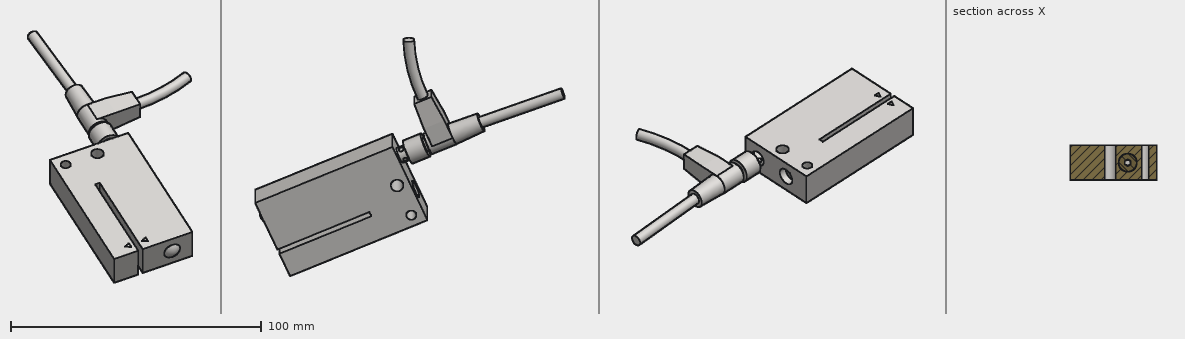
import cadquery as cq
import math


overall_length = 132.2

block_length = 60.0
block_width = 34.6
block_height = 14.0
slot_start = 19.8
slot_width = 2.0
slot_y = 11.6

hole_x = 5.0
hole_offset = 7.0
large_hole_diameter = 5.0
small_hole_diameter = 4.0

mark_x = 55.8
mark_length = 2.2
mark_width = 2.2
mark_depth = 0.1
mark_gap = 1.6

screw_diameter = 7.0
screw_recess = 3.3
screw_length = 4.0
socket_diameter = 2.5
socket_depth = 1.3

dome_diameter = 7.0
dome_height = 1.6
dome_y = 25.7

connector_y = 27.5
stub_diameter = 6.5
stub_length = 3.6
window_count = 4
window_diameter = 2.0
window_x = -1.9
window_depth = 0.2
window_first_angle = 60

nut_diameter = 10.0
nut_length = 7.7
neck_diameter = 6.0
neck_length = 1.2
barrel_diameter = 9.0
barrel_length = 10.7
cone_start_diameter = 8.9
cone_end_diameter = 7.7
cone_length = 12.3
cable_diameter = 4.5
cable_insertion = 1.3
straight_cable_angle = 3.0

arm_side = barrel_diameter
arm_straight_length = 8.3
arm_end_side = 7.5
arm_taper_length = 11.1
bend_radius = 66.2
bend_angle = 22

nut_start = -stub_length
neck_start = nut_start - nut_length
barrel_start = neck_start - neck_length
cone_start = barrel_start - barrel_length
cone_end = cone_start - cone_length

arm_x = cone_start + arm_side / 2

cable_tilt = math.radians(straight_cable_angle)
cable_end = block_length + dome_height - overall_length
cable_run = cone_end - cable_end - cable_diameter / 2 * math.sin(cable_tilt)
straight_cable_length = cable_run / math.cos(cable_tilt)


def rod(diameter, length, origin, direction):
    """Round rod of the given length from origin along direction."""
    cylinder = cq.Solid.makeCylinder(diameter / 2, length, cq.Vector(*origin), cq.Vector(*direction))
    return cq.Workplane(cylinder)


def rod_along_minus_x(diameter, length, start):
    """Round rod on the connector axis that runs from start toward -X."""
    return rod(diameter, length, (start, connector_y, 0), (-1, 0, 0))


def beam_mark(y):
    """Triangular pocket in the top face, with its point toward -Y."""
    floor = block_height / 2 - mark_depth
    half = mark_width / 2
    points = [(mark_x - half, y + mark_length), (mark_x + half, y + mark_length), (mark_x, y)]
    return cq.Workplane("XY", origin=(0, 0, floor)).polyline(points).close().extrude(mark_depth)


def lamp_window(angle):
    """Shallow flat-bottomed pocket in the stub, at an angle from +Y toward +Z."""
    outward = (0, math.cos(math.radians(angle)), math.sin(math.radians(angle)))
    floor = stub_diameter / 2 - window_depth
    origin = (window_x, connector_y + floor * outward[1], floor * outward[2])
    return rod(window_diameter, stub_diameter / 2, origin, outward)


def make_housing():
    """Block with its slot, holes and beam marks, and the receptacle stub."""
    block = cq.Workplane("XY").box(block_length, block_width, block_height, centered=(False, False, True))
    slot = (
        cq.Workplane("XY")
        .box(block_length - slot_start, slot_width, block_height, centered=(False, True, True))
        .translate((slot_start, slot_y, 0))
    )
    block = block.cut(slot)
    holes = ((slot_y + hole_offset, large_hole_diameter), (slot_y - hole_offset, small_hole_diameter))
    for y, diameter in holes:
        block = block.cut(rod(diameter, block_height, (hole_x, y, -block_height / 2), (0, 0, 1)))
    block = block.cut(rod(screw_diameter, screw_recess + screw_length, (0, slot_y, 0), (1, 0, 0)))

    slot_half = slot_width / 2
    block = block.cut(beam_mark(slot_y + slot_half + mark_gap))
    block = block.cut(beam_mark(slot_y - slot_half - mark_gap - mark_length))

    block = block.union(rod_along_minus_x(stub_diameter, stub_length, 0))
    for i in range(window_count):
        block = block.cut(lamp_window(window_first_angle + i * 360 / window_count))
    return block


def make_screw():
    """Screw with a hexagonal socket in its outer end."""
    body = rod(screw_diameter, screw_length, (screw_recess, slot_y, 0), (1, 0, 0))
    socket = (
        cq.Workplane("YZ", origin=(screw_recess, slot_y, 0))
        .transformed(rotate=(0, 0, 90))
        .polygon(6, socket_diameter)
        .extrude(socket_depth)
    )
    return body.cut(socket)


def make_dome():
    """Spherical cap with its flat base on the end face."""
    rim = dome_diameter / 2
    sphere_radius = (rim**2 + dome_height**2) / (2 * dome_height)
    return (
        cq.Workplane("XY", origin=(block_length, dome_y, 0))
        .moveTo(0, rim)
        .radiusArc((dome_height, 0), sphere_radius)
        .lineTo(0, 0)
        .close()
        .revolve(360, (0, 0, 0), (1, 0, 0))
    )


def make_straight_plug():
    """Nut, neck, barrel, cone and a cable that tilts toward -Y."""
    plug = rod_along_minus_x(nut_diameter, nut_length, nut_start)
    plug = plug.union(rod_along_minus_x(neck_diameter, neck_length, neck_start))
    plug = plug.union(rod_along_minus_x(barrel_diameter, barrel_length, barrel_start))
    cone = cq.Solid.makeCone(
        cone_start_diameter / 2,
        cone_end_diameter / 2,
        cone_length,
        cq.Vector(cone_start, connector_y, 0),
        cq.Vector(-1, 0, 0),
    )
    plug = plug.union(cq.Workplane(cone))
    direction = (-math.cos(cable_tilt), -math.sin(cable_tilt), 0)
    origin = (cone_end - cable_insertion * direction[0], connector_y - cable_insertion * direction[1], 0)
    return plug.union(rod(cable_diameter, cable_insertion + straight_cable_length, origin, direction))


def make_angled_plug(straight_plug):
    """Square arm that saddles the straight plug, with a cable bent toward -X."""
    arm = (
        cq.Workplane("XZ", origin=(arm_x, connector_y, 0))
        .rect(arm_side, arm_side)
        .extrude(-arm_straight_length)
    )
    taper_start = connector_y + arm_straight_length
    taper = (
        cq.Workplane("XZ", origin=(arm_x, taper_start, 0))
        .rect(arm_side, arm_side)
        .workplane(offset=-arm_taper_length)
        .rect(arm_end_side, arm_end_side)
        .loft()
    )
    cable_start = taper_start + arm_taper_length
    cable = (
        cq.Workplane("XZ", origin=(arm_x, cable_start, 0))
        .circle(cable_diameter / 2)
        .revolve(bend_angle, (-bend_radius, 0, 0), (-bend_radius, 1, 0))
    )
    return arm.union(taper).union(cable).cut(straight_plug)


housing = make_housing()
screw = make_screw()
dome = make_dome()
straight_plug = make_straight_plug()
angled_plug = make_angled_plug(straight_plug)

result = cq.Compound.makeCompound(
    [housing.val(), screw.val(), dome.val(), straight_plug.val(), angled_plug.val()]
)